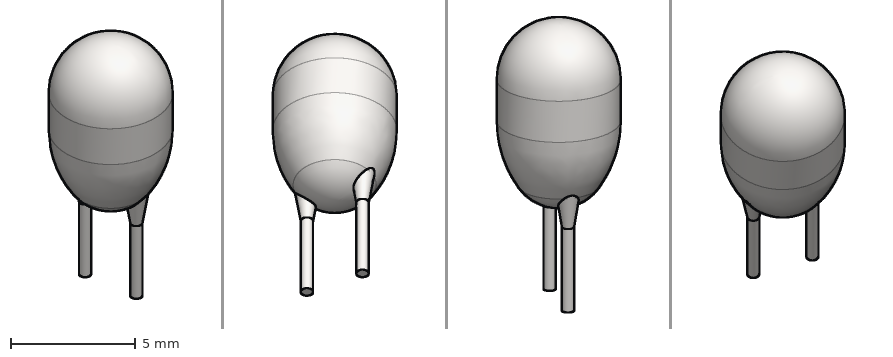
import cadquery as cq
import math

TOTAL_HEIGHT = 12.0
BEAD_DIAMETER = 5.0
BEAD_RADIUS = BEAD_DIAMETER / 2
FLANK_RADIUS = 2 * BEAD_RADIUS
TIP_RADIUS = 2.0
BARREL_BOTTOM = 7.73
LEAD_RADIUS = 0.25
LEAD_LENGTH = 3.6
LEAD_PITCH = 2.55
SLEEVE_TOP_RADIUS = 0.5
SLEEVE_TOP = 5.16

BARREL_TOP = TOTAL_HEIGHT - BEAD_RADIUS
FLANK_CENTER_X = BEAD_RADIUS - FLANK_RADIUS
TANGENT_ANGLE = math.acos(-FLANK_CENTER_X / (FLANK_RADIUS - TIP_RADIUS))
TIP_CENTER_Z = BARREL_BOTTOM + FLANK_CENTER_X * math.tan(TANGENT_ANGLE)


def arc_point(center_x, center_z, radius, angle):
    """Point on a profile arc, at an angle below horizontal."""
    return (center_x + radius * math.cos(angle), center_z - radius * math.sin(angle))


def make_bead():
    """Domed barrel with a tapering, rounded underside."""
    dome_middle = arc_point(0, BARREL_TOP, BEAD_RADIUS, -math.pi / 4)
    flank_middle = arc_point(FLANK_CENTER_X, BARREL_BOTTOM, FLANK_RADIUS, TANGENT_ANGLE / 2)
    flank_end = arc_point(FLANK_CENTER_X, BARREL_BOTTOM, FLANK_RADIUS, TANGENT_ANGLE)
    tip_middle = arc_point(0, TIP_CENTER_Z, TIP_RADIUS, (TANGENT_ANGLE + math.pi / 2) / 2)
    return (
        cq.Workplane("XZ")
        .moveTo(0, TOTAL_HEIGHT)
        .threePointArc(dome_middle, (BEAD_RADIUS, BARREL_TOP))
        .lineTo(BEAD_RADIUS, BARREL_BOTTOM)
        .threePointArc(flank_middle, flank_end)
        .threePointArc(tip_middle, (0, TIP_CENTER_Z - TIP_RADIUS))
        .close()
        .revolve(360, (0, 0, 0), (0, 1, 0))
    )


def make_sleeve(x, bead):
    """Conical collar between a lead and the bead, trimmed to the bead surface."""
    cone = cq.Solid.makeCone(
        LEAD_RADIUS, SLEEVE_TOP_RADIUS, SLEEVE_TOP - LEAD_LENGTH, pnt=cq.Vector(x, 0, LEAD_LENGTH)
    )
    return cq.Workplane(cone).cut(bead)


def make_lead(x):
    """Straight round wire ending at the sleeve's lower face."""
    return cq.Workplane("XY").center(x, 0).circle(LEAD_RADIUS).extrude(LEAD_LENGTH)


bead = make_bead()
bodies = bead.vals()
for x in (-LEAD_PITCH / 2, LEAD_PITCH / 2):
    sleeve = make_sleeve(x, bead)
    lead = make_lead(x)
    bodies += sleeve.solids().vals() + lead.vals()

result = cq.Compound.makeCompound(bodies)